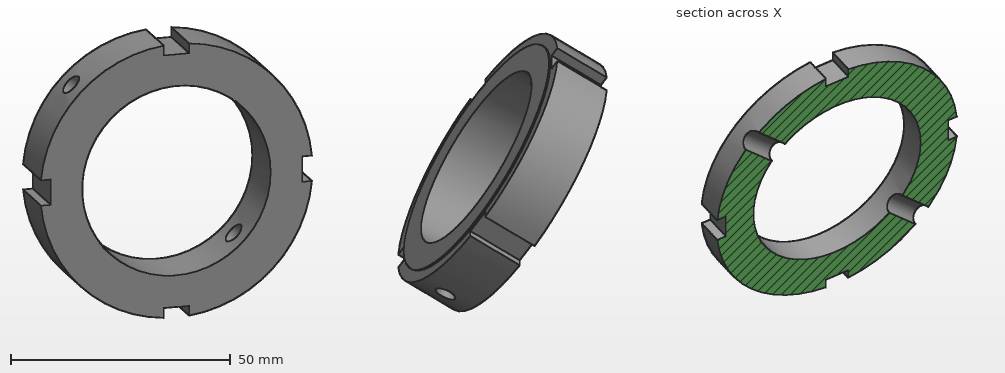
import cadquery as cq
import math

span = 64.7
width = 14.0
bore_diameter = 45.0
face_diameter = 59.0
face_height = 0.4
slot_width = 6.0
slot_floor_radius = 30.0
slot_count = 4
pin_hole_diameter = 4.9
pin_hole_angle = 45.0

outer_radius = math.hypot(span / 2, slot_width / 2)
face_x = -width / 2
body_x = face_x + face_height


def ring_body():
    """Rim with the raised face and the through bore."""
    rim = cq.Workplane("YZ", origin=(body_x, 0, 0)).circle(outer_radius).extrude(width - face_height)
    face = cq.Workplane("YZ", origin=(face_x, 0, 0)).circle(face_diameter / 2).extrude(face_height)
    bore = cq.Workplane("YZ", origin=(face_x, 0, 0)).circle(bore_diameter / 2).extrude(width)
    return rim.union(face).cut(bore)


def spanner_slot(angle):
    """Cutter for one slot through the rim, turned about X from +Z."""
    slot = cq.Workplane("XY", origin=(0, 0, slot_floor_radius)).box(
        width, slot_width, span / 2, centered=(True, True, False)
    )
    return slot.rotate((0, 0, 0), (1, 0, 0), angle)


def pin_holes():
    """Cutter across the full diameter, making two opposite radial holes."""
    pin = cq.Workplane("XY").circle(pin_hole_diameter / 2).extrude(span, both=True)
    return pin.rotate((0, 0, 0), (1, 0, 0), pin_hole_angle)


result = ring_body()
for index in range(slot_count):
    result = result.cut(spanner_slot(index * 360 / slot_count))
result = result.cut(pin_holes())